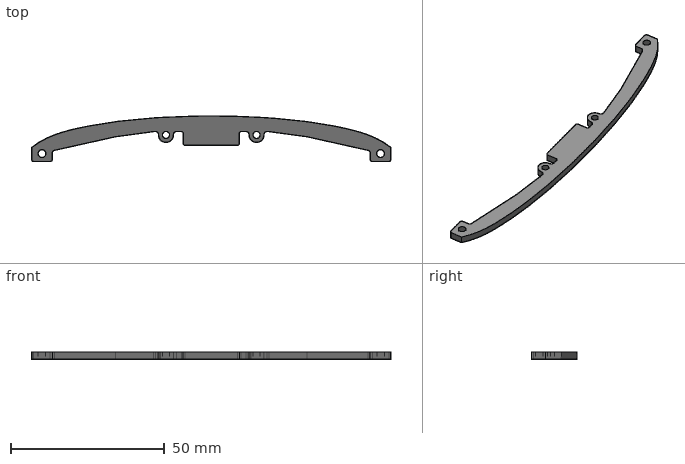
import cadquery as cq

length = 117.0
depth = 14.9
thickness = 2.5
half_length = length / 2

tab_width = 6.8
tab_inner_x = half_length - tab_width
tab_outer_height = 4.6
tab_corner_radius = 0.7
tab_root_radius = 0.9
tab_hole_x = 55.1
tab_hole_y = 2.6
tab_hole_diameter = 2.5

crown_points = [(53.2, 7.78), (43.9, 10.8), (30.4, 13.1), (16.4, 14.4)]

inner_start_y = 3.45
bend_x = 31.2
bend_y = 8.01
inner_end_x = 18.7
flat_y = 9.7

pad_half_width = 9.1
pad_bottom_y = 5.3
pad_corner_radius = 0.6

ear_x = 14.7
ear_y = 8.7
ear_radius = 2.5
ear_root_radius = 0.9
ear_hole_diameter = 2.2


def mirrored(points):
    """Mirror points across X = 0, reversing their order."""
    return [(-x, y) for x, y in reversed(points)]


def vertical_edges(body, points):
    """Select the vertical edges of body that stand on the given XY points."""
    tolerance = 0.02
    edges = body.newObject([])
    for x, y in points:
        box = cq.selectors.BoxSelector(
            (x - tolerance, y - tolerance, 0),
            (x + tolerance, y + tolerance, thickness),
        )
        edges = edges.add(body.edges("|Z").edges(box))
    return edges


def both_sides(x, y):
    return [(x, y), (-x, y)]


def make_plate():
    """Curved strip with its two end tabs and the central pad."""
    right_inner = [
        (pad_half_width, pad_bottom_y),
        (pad_half_width, flat_y),
        (inner_end_x, flat_y),
        (bend_x, bend_y),
        (tab_inner_x, inner_start_y),
        (tab_inner_x, 0),
        (half_length, 0),
        (half_length, tab_outer_height),
    ]
    crown = crown_points + [(0, depth)] + mirrored(crown_points) + [(-half_length, tab_outer_height)]
    left_inner = mirrored(right_inner)[1:]
    return (
        cq.Workplane("XY")
        .polyline(right_inner)
        .spline(crown, includeCurrent=True)
        .polyline(left_inner, includeCurrent=True)
        .close()
        .extrude(thickness)
    )


def round_corners(body):
    tab_corners = both_sides(half_length, 0) + both_sides(tab_inner_x, 0)
    tab_roots = both_sides(tab_inner_x, inner_start_y)
    pad_corners = both_sides(pad_half_width, pad_bottom_y) + both_sides(pad_half_width, flat_y)
    body = vertical_edges(body, tab_corners).fillet(tab_corner_radius)
    body = vertical_edges(body, tab_roots).fillet(tab_root_radius)
    return vertical_edges(body, pad_corners).fillet(pad_corner_radius)


def add_ears(body):
    """Round ears hanging from the flat inner edge, blended into it."""
    ears = (
        cq.Workplane("XY")
        .pushPoints(both_sides(ear_x, ear_y))
        .circle(ear_radius)
        .extrude(thickness)
    )
    body = body.union(ears)
    root_offset = (ear_radius**2 - (flat_y - ear_y) ** 2) ** 0.5
    roots = both_sides(ear_x - root_offset, flat_y) + both_sides(ear_x + root_offset, flat_y)
    return vertical_edges(body, roots).fillet(ear_root_radius)


def drill(body, x, y, diameter):
    """Through holes at X = +x and X = -x."""
    holes = (
        cq.Workplane("XY")
        .pushPoints(both_sides(x, y))
        .circle(diameter / 2)
        .extrude(thickness)
    )
    return body.cut(holes)


plate = add_ears(round_corners(make_plate()))
plate = drill(plate, tab_hole_x, tab_hole_y, tab_hole_diameter)
result = drill(plate, ear_x, ear_y, ear_hole_diameter)